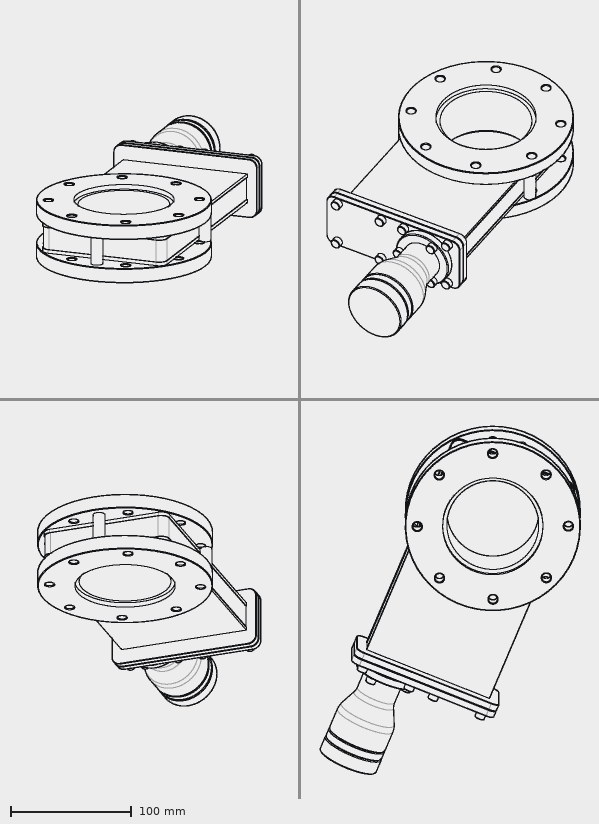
import cadquery as cq
import math


FLANGE_DIAMETER = 145.0
FLANGE_STACK_HEIGHT = 50.0
BODY_THICKNESS = 25.0
FLANGE_THICKNESS = (FLANGE_STACK_HEIGHT - BODY_THICKNESS) / 2
FLANGE_EDGE_CHAMFER = 0.6
BORE_DIAMETER = 76.0
SEAT_DIAMETER = 83.0
SEAT_DEPTH = 4.0
BOLT_CIRCLE_DIAMETER = 125.0
BOLT_HOLE_DIAMETER = 7.2
BOLT_HOLE_CHAMFER = 0.7
BOLT_HOLE_COUNT = 8

BODY_WIDTH = 110.0
BODY_END_Y = -50.0
BODY_CORNER_RADIUS = 7.0
SKIN_THICKNESS = 3.0
WALL_RECESS = 0.5

POST_DIAMETER = 10.0
SIDE_POST_X = (BODY_WIDTH + POST_DIAMETER) / 2
SIDE_POST_Y = 31.0
END_POST_Y = -62.0

PLATE_WIDTH = 127.3
PLATE_HEIGHT = 50.55
PLATE_THICKNESS = 6.0
PLATE_CORNER_RADIUS = 7.0
PLATE_EDGE_CHAMFER = 0.5
BONNET_FRONT_Y = 140.7
BONNET_REAR_Y = BONNET_FRONT_Y + 2 * PLATE_THICKNESS
BONNET_BOLT_INNER_X = 10.75
BONNET_BOLT_OUTER_X = 52.7
BONNET_BOLT_Z = 20.5

HEAD_DIAMETER = 8.2
HEAD_HEIGHT = 4.8
HEAD_EDGE_CHAMFER = 0.5

ACTUATOR_X = -31.7
ACTUATOR_REAR_Y = 238.13
MOUNT_RADIUS = 25.0
MOUNT_THICKNESS = 7.0
MOUNT_REAR_Y = BONNET_REAR_Y + MOUNT_THICKNESS
MOUNT_EDGE_CHAMFER = 0.8
MOUNT_BOLT_CIRCLE_RADIUS = 21.0
MOUNT_BOLT_COUNT = 3
STEM_RADIUS = 16.8
KNOB_RADIUS = 25.0
CAP_RADIUS = 25.2
CAP_FRONT_Y = 225.7
CAP_EDGE_CHAMFER = 0.8
CONE_SMALL_Y = 179.5
CONE_LARGE_Y = 197.5
CONE_SMALL_BLEND = 12.0
CONE_LARGE_BLEND = 13.0
GROOVE_DEPTH = 0.8
GROOVE_HALF_WIDTH = 0.8
GROOVE_CENTER_Y = 218.3


def box_between(x_half, y_front, y_rear, z_half):
    """Box symmetric about X = 0 and Z = 0, spanning two Y positions."""
    depth = y_rear - y_front
    return cq.Workplane("XY").box(2 * x_half, depth, 2 * z_half).translate((0, y_front + depth / 2, 0))


def make_screw_head(x, z, y_front):
    """Round screw head parallel to Y, chamfered at its rear edge."""
    return (
        cq.Workplane("XZ", origin=(x, y_front, z))
        .circle(HEAD_DIAMETER / 2)
        .extrude(-HEAD_HEIGHT)
        .faces(">Y")
        .edges()
        .chamfer(HEAD_EDGE_CHAMFER)
    )


def make_body():
    """Flat gate housing with rounded free corners."""
    block = (
        box_between(BODY_WIDTH / 2, BODY_END_Y, BONNET_FRONT_Y, BODY_THICKNESS / 2)
        .edges("|Z and <Y")
        .fillet(BODY_CORNER_RADIUS)
    )
    wall_height = BODY_THICKNESS - 2 * SKIN_THICKNESS
    full = box_between(BODY_WIDTH / 2, BODY_END_Y, BONNET_FRONT_Y, wall_height / 2)
    wall = (
        box_between(
            BODY_WIDTH / 2 - WALL_RECESS,
            BODY_END_Y + WALL_RECESS,
            BONNET_FRONT_Y,
            wall_height / 2,
        )
        .edges("|Z and <Y")
        .fillet(BODY_CORNER_RADIUS)
    )
    return block.cut(full.cut(wall))


def make_flange(z_bottom):
    """Port flange disc with chamfered edges and bolt holes straddling the X and Y axes."""
    disc = (
        cq.Workplane("XY")
        .circle(FLANGE_DIAMETER / 2)
        .extrude(FLANGE_THICKNESS)
        .faces("<Z or >Z")
        .edges()
        .chamfer(FLANGE_EDGE_CHAMFER)
    )
    holes = (
        cq.Workplane("XY")
        .polarArray(BOLT_CIRCLE_DIAMETER / 2, 180 / BOLT_HOLE_COUNT, 360, BOLT_HOLE_COUNT)
        .circle(BOLT_HOLE_DIAMETER / 2)
        .extrude(FLANGE_THICKNESS)
    )
    hole_edges = cq.selectors.RadiusNthSelector(0)
    flange = disc.cut(holes).edges(hole_edges).chamfer(BOLT_HOLE_CHAMFER)
    return flange.translate((0, 0, z_bottom))


def make_posts():
    """Three spacer posts that tie the flanges together outside the body."""
    post_points = [
        (-SIDE_POST_X, SIDE_POST_Y),
        (SIDE_POST_X, SIDE_POST_Y),
        (0, END_POST_Y),
    ]
    return (
        cq.Workplane("XY", origin=(0, 0, -BODY_THICKNESS / 2))
        .pushPoints(post_points)
        .circle(POST_DIAMETER / 2)
        .extrude(BODY_THICKNESS)
    )


def make_bonnet_plate(y_front):
    """Rectangular plate with rounded corners and chamfered front and rear edges."""
    return (
        box_between(PLATE_WIDTH / 2, y_front, y_front + PLATE_THICKNESS, PLATE_HEIGHT / 2)
        .edges("|Y")
        .fillet(PLATE_CORNER_RADIUS)
        .faces("<Y or >Y")
        .edges()
        .chamfer(PLATE_EDGE_CHAMFER)
    )


def make_actuator():
    """Turned actuator: mount rim, stem, blended cone, grooved knob and cap."""
    cone_slope = math.atan2(KNOB_RADIUS - STEM_RADIUS, CONE_LARGE_Y - CONE_SMALL_Y)
    small_run = CONE_SMALL_BLEND * math.tan(cone_slope / 2)
    large_run = CONE_LARGE_BLEND * math.tan(cone_slope / 2)
    small_end = (
        STEM_RADIUS + small_run * math.sin(cone_slope),
        CONE_SMALL_Y + small_run * math.cos(cone_slope),
    )
    large_start = (
        KNOB_RADIUS - large_run * math.sin(cone_slope),
        CONE_LARGE_Y - large_run * math.cos(cone_slope),
    )
    stem_top = (STEM_RADIUS, CONE_SMALL_Y - small_run)
    knob_start = (KNOB_RADIUS, CONE_LARGE_Y + large_run)

    profile = (
        cq.Workplane("XY")
        .moveTo(0, BONNET_REAR_Y)
        .lineTo(MOUNT_RADIUS - MOUNT_EDGE_CHAMFER, BONNET_REAR_Y)
        .lineTo(MOUNT_RADIUS, BONNET_REAR_Y + MOUNT_EDGE_CHAMFER)
        .lineTo(MOUNT_RADIUS, MOUNT_REAR_Y - MOUNT_EDGE_CHAMFER)
        .lineTo(MOUNT_RADIUS - MOUNT_EDGE_CHAMFER, MOUNT_REAR_Y)
        .lineTo(STEM_RADIUS, MOUNT_REAR_Y)
        .lineTo(*stem_top)
        .tangentArcPoint(small_end, relative=False)
        .lineTo(*large_start)
        .tangentArcPoint(knob_start, relative=False)
        .lineTo(KNOB_RADIUS, GROOVE_CENTER_Y - GROOVE_HALF_WIDTH)
        .lineTo(KNOB_RADIUS - GROOVE_DEPTH, GROOVE_CENTER_Y)
        .lineTo(KNOB_RADIUS, GROOVE_CENTER_Y + GROOVE_HALF_WIDTH)
        .lineTo(KNOB_RADIUS, CAP_FRONT_Y - CAP_EDGE_CHAMFER)
        .lineTo(KNOB_RADIUS - CAP_EDGE_CHAMFER, CAP_FRONT_Y)
        .lineTo(CAP_RADIUS, CAP_FRONT_Y + CAP_EDGE_CHAMFER)
        .lineTo(CAP_RADIUS, ACTUATOR_REAR_Y - CAP_EDGE_CHAMFER)
        .lineTo(CAP_RADIUS - CAP_EDGE_CHAMFER, ACTUATOR_REAR_Y)
        .lineTo(0, ACTUATOR_REAR_Y)
        .close()
    )
    return profile.revolve(360, (0, 0, 0), (0, 1, 0)).translate((ACTUATOR_X, 0, 0))


def bonnet_bolt_points():
    """Positions (x, z) of the screws around the bonnet plates."""
    offsets = (BONNET_BOLT_INNER_X, BONNET_BOLT_OUTER_X)
    return [(sx * x, sz * BONNET_BOLT_Z) for x in offsets for sx in (-1, 1) for sz in (-1, 1)]


def mount_bolt_points():
    """Positions (x, z) of the screws in the actuator mount rim."""
    angles = [2 * math.pi * i / MOUNT_BOLT_COUNT for i in range(MOUNT_BOLT_COUNT)]
    return [
        (
            ACTUATOR_X + MOUNT_BOLT_CIRCLE_RADIUS * math.cos(angle),
            MOUNT_BOLT_CIRCLE_RADIUS * math.sin(angle),
        )
        for angle in angles
    ]


def cut_port(part):
    """Bore through the part and a shallow seat recess in each flange face."""
    half_height = FLANGE_STACK_HEIGHT / 2
    bore = (
        cq.Workplane("XY", origin=(0, 0, -half_height))
        .circle(BORE_DIAMETER / 2)
        .extrude(FLANGE_STACK_HEIGHT)
    )
    part = part.cut(bore)
    for z_bottom in (-half_height, half_height - SEAT_DEPTH):
        seat = cq.Workplane("XY", origin=(0, 0, z_bottom)).circle(SEAT_DIAMETER / 2).extrude(SEAT_DEPTH)
        part = part.cut(seat)
    return part


result = make_body().union(make_posts())
for flange_bottom in (-FLANGE_STACK_HEIGHT / 2, BODY_THICKNESS / 2):
    result = result.union(make_flange(flange_bottom))
result = cut_port(result)

for plate_front in (BONNET_FRONT_Y, BONNET_FRONT_Y + PLATE_THICKNESS):
    result = result.union(make_bonnet_plate(plate_front))

result = result.union(make_actuator())

for x, z in bonnet_bolt_points():
    result = result.union(make_screw_head(x, z, BONNET_REAR_Y))
for x, z in mount_bolt_points():
    result = result.union(make_screw_head(x, z, MOUNT_REAR_Y))